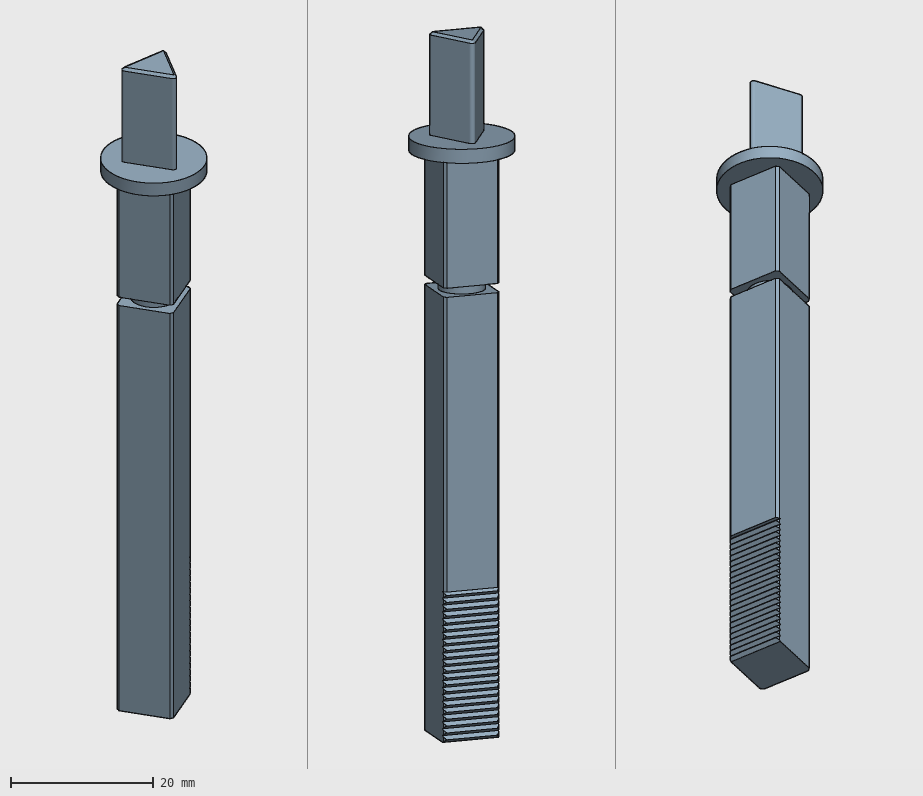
import cadquery as cq
import math

total_length = 102.0

shank_width = 8.4
shank_corner_chamfer = 0.4
groove_bottom = 64.9
groove_height = 1.3
groove_top = groove_bottom + groove_height
neck_diameter = 6.7

key_length = 15.0
key_corner_count = 3
key_circle_radius = 5.1
key_corner_radius = 0.5
key_top_chamfer = 0.4

flange_diameter = 15.0
flange_thickness = 2.0
flange_top = total_length - key_length
flange_bottom = flange_top - flange_thickness

tooth_count = 22
tooth_pitch = 1.0
tooth_depth = 0.6
cutter_clearance = 1.0


def square_bar(bottom, top):
    base = cq.Workplane("XY").workplane(offset=bottom)
    bar = base.rect(shank_width, shank_width).extrude(top - bottom)
    return bar.edges("|Z").chamfer(shank_corner_chamfer)


def round_bar(bottom, top, diameter):
    base = cq.Workplane("XY").workplane(offset=bottom)
    return base.circle(diameter / 2).extrude(top - bottom)


def triangular_key():
    corners = []
    for i in range(key_corner_count):
        angle = math.pi / 2 + i * 2 * math.pi / key_corner_count
        corners.append((key_circle_radius * math.cos(angle), key_circle_radius * math.sin(angle)))
    base = cq.Workplane("XY").workplane(offset=flange_top)
    key = base.polyline(corners).close().extrude(key_length)
    key = key.edges("|Z").fillet(key_corner_radius)
    return key.faces(">Z").chamfer(key_top_chamfer)


def tooth_cutter():
    crest = shank_width / 2
    root = crest - tooth_depth
    outside = crest + cutter_clearance
    points = [(outside, 0), (root, 0)]
    for i in range(tooth_count):
        points.append((crest, (i + 0.5) * tooth_pitch))
        points.append((root, (i + 1) * tooth_pitch))
    points.append((outside, tooth_count * tooth_pitch))
    return cq.Workplane("YZ").polyline(points).close().extrude(shank_width, both=True)


result = (
    square_bar(0, groove_bottom)
    .cut(tooth_cutter())
    .union(round_bar(groove_bottom, groove_top, neck_diameter))
    .union(square_bar(groove_top, flange_bottom))
    .union(round_bar(flange_bottom, flange_top, flange_diameter))
    .union(triangular_key())
)